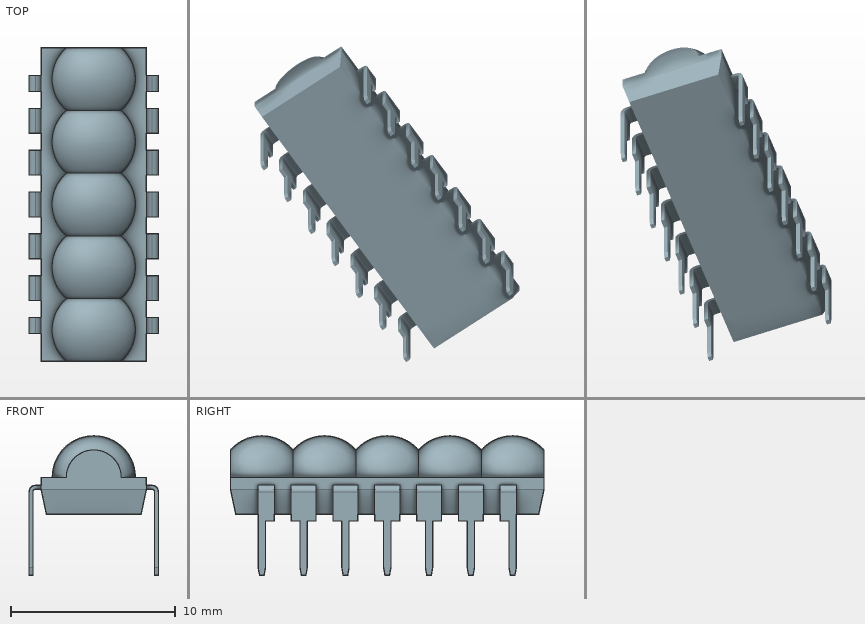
import cadquery as cq
import math

length = 19.06
plate_width = 6.4
plate_thickness = 0.75
body_height = 1.5
body_draft = 12.0

dome_count = 5
dome_radius = 2.53
dome_pitch = length / dome_count

leads_per_side = 7
lead_pitch = 2.54
lead_span = 7.87
lead_thickness = 0.25
lead_top = -0.48
lead_tip = -5.95
bend_radius = 0.4
lead_embed = 0.38
shoulder_width = 1.52
shoulder_bottom = -2.65
pin_width = 0.45
tip_width = 0.29
tip_height = 0.45


def make_housing():
    plate = cq.Workplane("XY").rect(plate_width, length).extrude(-plate_thickness)
    body = (
        cq.Workplane("XY", origin=(0, 0, -plate_thickness))
        .rect(plate_width, length)
        .extrude(-body_height, taper=body_draft)
    )
    return plate.union(body)


def make_domes():
    """Overlapping half spheres, trimmed to the length of the plate."""
    trim = cq.Workplane("XY").box(2 * dome_radius, length, dome_radius, centered=(True, True, False))
    domes = cq.Workplane("XY")
    for index in range(dome_count):
        y = (index - (dome_count - 1) / 2) * dome_pitch
        domes = domes.union(cq.Workplane("XY", origin=(0, y, 0)).sphere(dome_radius))
    return domes.intersect(trim)


def make_bent_strip():
    """Lead cross-section on the +X side, extruded to the full shoulder width."""
    outer_x = lead_span / 2
    inner_x = outer_x - lead_thickness
    start_x = plate_width / 2 - lead_embed
    bend_x = outer_x - bend_radius
    bend_z = lead_top - bend_radius
    inner_radius = bend_radius - lead_thickness
    diagonal = math.sqrt(0.5)
    return (
        cq.Workplane("XZ")
        .moveTo(start_x, lead_top)
        .lineTo(bend_x, lead_top)
        .threePointArc(
            (bend_x + bend_radius * diagonal, bend_z + bend_radius * diagonal),
            (outer_x, bend_z),
        )
        .lineTo(outer_x, lead_tip)
        .lineTo(inner_x, lead_tip)
        .lineTo(inner_x, bend_z)
        .threePointArc(
            (bend_x + inner_radius * diagonal, bend_z + inner_radius * diagonal),
            (bend_x, lead_top - lead_thickness),
        )
        .lineTo(start_x, lead_top - lead_thickness)
        .close()
        .extrude(shoulder_width / 2, both=True)
    )


def make_lead(shoulder_min_y, shoulder_max_y):
    """Lead on the +X side with its pin at Y = 0 and the given shoulder edges."""
    half_pin = pin_width / 2
    half_tip = tip_width / 2
    taper_z = lead_tip + tip_height
    pin = (
        cq.Workplane("YZ")
        .polyline([
            (-half_pin, lead_top),
            (half_pin, lead_top),
            (half_pin, taper_z),
            (half_tip, lead_tip),
            (-half_tip, lead_tip),
            (-half_pin, taper_z),
        ])
        .close()
        .extrude(lead_span / 2)
    )
    shoulder = (
        cq.Workplane("YZ")
        .moveTo(shoulder_min_y, shoulder_bottom)
        .lineTo(shoulder_max_y, shoulder_bottom)
        .lineTo(shoulder_max_y, lead_top)
        .lineTo(shoulder_min_y, lead_top)
        .close()
        .extrude(lead_span / 2)
    )
    silhouette = shoulder.union(pin)
    return make_bent_strip().intersect(silhouette)


def make_lead_row():
    """Row on the +X side; the end leads have no shoulder on their outward side."""
    row = cq.Workplane("XY")
    last = leads_per_side - 1
    for index in range(leads_per_side):
        min_y = -pin_width / 2 if index == 0 else -shoulder_width / 2
        max_y = pin_width / 2 if index == last else shoulder_width / 2
        y = (index - last / 2) * lead_pitch
        row = row.union(make_lead(min_y, max_y).translate((0, y, 0)))
    return row


lead_row = make_lead_row()
result = (
    make_housing()
    .union(make_domes())
    .union(lead_row)
    .union(lead_row.mirror("YZ"))
)